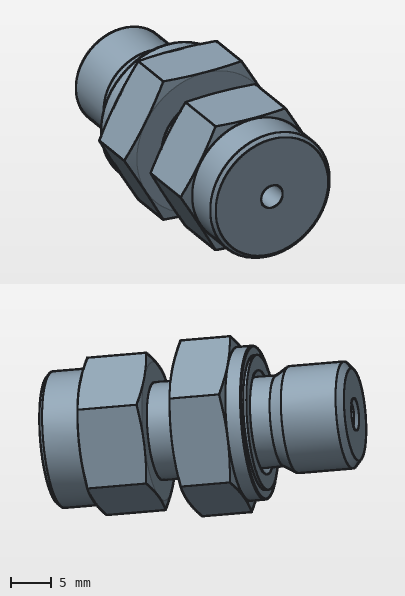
import cadquery as cq
import math

TOTAL_LENGTH = 37.8

BORE_RADIUS = 1.5
COUNTERSINK_RADIUS = 2.0
COUNTERSINK_DEPTH = COUNTERSINK_RADIUS - BORE_RADIUS

THREAD_RADIUS = 6.58
THREAD_TIP_RADIUS = 5.67
THREAD_CHAMFER_LENGTH = 0.85
THREAD_END = 7.7
UNDERCUT_RADIUS = 5.6
UNDERCUT_START = 9.37

RIM_START = 11.65
RIM_RADIUS = 8.28
RELIEF_RADIUS = 6.4
RELIEF_END = RIM_START + RELIEF_RADIUS - UNDERCUT_RADIUS
FLANGE_START = 12.02
FLANGE_RADIUS = 9.45
FLANGE_CHAMFER = 0.1

HEX_CHAMFER_ANGLE = 15.0
FITTING_HEX_FLATS = 19.0
FITTING_HEX_START = 14.0
FITTING_HEX_END = 21.0
NUT_HEX_FLATS = 17.0
NUT_START = 24.72
NUT_HEX_END = 32.85

STUB_RADIUS = 6.0
STUB_END = NUT_HEX_END

COLLAR_RADIUS = 8.4
COLLAR_CHAMFER = 0.5


def turned(profile):
    """Solid of revolution about X from (x, radius) points, closed along the axis."""
    first_x = profile[0][0]
    last_x = profile[-1][0]
    outline = [(first_x, 0), *profile, (last_x, 0)]
    return cq.Workplane("XY").polyline(outline).close().revolve(360, (0, 0, 0), (1, 0, 0))


def rod(start, end, radius):
    """Plain cylinder along X."""
    return turned([(start, radius), (end, radius)])


def chamfered_hexagon(start, end, flats, face_radius):
    """Hexagonal prism along X whose corners are cut by a cone at both end faces."""
    corner_radius = flats / 2 / math.cos(math.pi / 6)
    chamfer_length = (corner_radius - face_radius) * math.tan(math.radians(HEX_CHAMFER_ANGLE))
    prism = (
        cq.Workplane("YZ", origin=(start, 0, 0))
        .polygon(6, 2 * corner_radius)
        .extrude(end - start)
    )
    envelope = turned([
        (start, face_radius),
        (start + chamfer_length, corner_radius),
        (end - chamfer_length, corner_radius),
        (end, face_radius),
    ])
    return prism.intersect(envelope)


def make_fitting():
    """Threaded fitting with flange, hexagon, stub and through bore."""
    front = turned([
        (0, THREAD_TIP_RADIUS),
        (THREAD_CHAMFER_LENGTH, THREAD_RADIUS),
        (THREAD_END, THREAD_RADIUS),
        (UNDERCUT_START, UNDERCUT_RADIUS),
        (RELIEF_END, UNDERCUT_RADIUS),
        (RIM_START, RELIEF_RADIUS),
        (RIM_START, RIM_RADIUS),
        (FLANGE_START, RIM_RADIUS),
        (FLANGE_START, FLANGE_RADIUS - FLANGE_CHAMFER),
        (FLANGE_START + FLANGE_CHAMFER, FLANGE_RADIUS),
        (FITTING_HEX_START, FLANGE_RADIUS),
    ])
    hexagon = chamfered_hexagon(
        FITTING_HEX_START, FITTING_HEX_END, FITTING_HEX_FLATS, FLANGE_RADIUS
    )
    stub = rod(FITTING_HEX_END, STUB_END, STUB_RADIUS)
    bore = turned([
        (0, COUNTERSINK_RADIUS),
        (COUNTERSINK_DEPTH, BORE_RADIUS),
        (STUB_END, BORE_RADIUS),
    ])
    return front.union(hexagon).union(stub).cut(bore)


def make_nut():
    """Union nut: hexagon and round collar, with a recess for the stub and a through bore."""
    hexagon = chamfered_hexagon(NUT_START, NUT_HEX_END, NUT_HEX_FLATS, NUT_HEX_FLATS / 2)
    collar = turned([
        (NUT_HEX_END, COLLAR_RADIUS),
        (TOTAL_LENGTH - COLLAR_CHAMFER, COLLAR_RADIUS),
        (TOTAL_LENGTH, COLLAR_RADIUS - COLLAR_CHAMFER),
    ])
    recess = rod(NUT_START, STUB_END, STUB_RADIUS)
    bore = rod(STUB_END, TOTAL_LENGTH, BORE_RADIUS)
    return hexagon.union(collar).cut(recess).cut(bore)


fitting = make_fitting()
nut = make_nut()

result = cq.Compound.makeCompound([fitting.val(), nut.val()])